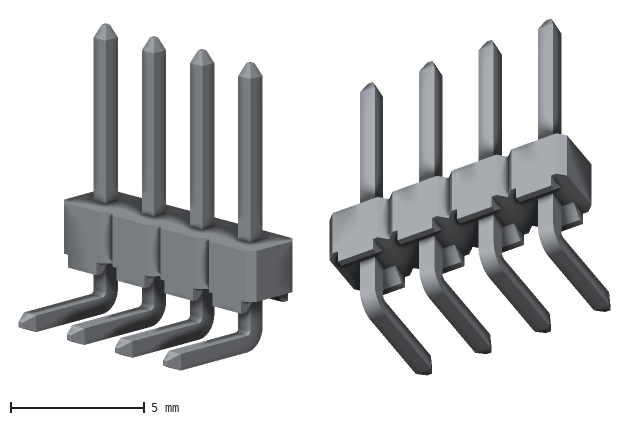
import cadquery as cq

pin_count = 4
row_length = 10.16
pitch = row_length / pin_count
total_height = 11.12
pin_centers = [(i - (pin_count - 1) / 2) * pitch for i in range(pin_count)]

pin_width = 0.65
tip_width = pin_width / 3
tip_length = 0.5
inner_bend_radius = 0.18
outer_bend_radius = inner_bend_radius + pin_width
tail_reach = 4.55

body_depth = 2.51
body_height = 1.99
body_bottom = 2.25
corner_cut = 0.3
notch_floor = 0.03

foot_length = 1.49
foot_height = 0.5
foot_bottom_depth = 0.27
foot_top_depth = foot_bottom_depth + foot_height


def make_body():
    """Bar with cut outer corners and a notch between neighbouring cells, front and back."""
    body = (
        cq.Workplane("XY")
        .box(row_length, body_depth, body_height, centered=(True, True, False))
        .edges("|Z")
        .chamfer(corner_cut)
    )
    face = body_depth / 2
    half_floor = notch_floor / 2
    half_mouth = half_floor + corner_cut
    for i in range(1, pin_count):
        x = -row_length / 2 + i * pitch
        for side in (-1, 1):
            notch = (
                cq.Workplane("XY")
                .polyline([
                    (x - half_mouth, side * face),
                    (x - half_floor, side * (face - corner_cut)),
                    (x + half_floor, side * (face - corner_cut)),
                    (x + half_mouth, side * face),
                ])
                .close()
                .extrude(body_height)
            )
            body = body.cut(notch)
    return body.translate((0, 0, body_bottom))


def make_foot(x, side):
    """Foot under the body, flush with its front (-1) or back (+1) face."""
    outer = side * body_depth / 2
    foot_bottom = body_bottom - foot_height
    return (
        cq.Workplane("YZ")
        .polyline([
            (outer, body_bottom),
            (outer, foot_bottom),
            (outer - side * foot_bottom_depth, foot_bottom),
            (outer - side * foot_top_depth, body_bottom),
        ])
        .close()
        .extrude(foot_length / 2, both=True)
        .translate((x, 0, 0))
    )


def make_tip(base_plane):
    """Truncated pyramid that tapers along the normal of the given plane."""
    return (
        cq.Workplane(base_plane)
        .rect(pin_width, pin_width)
        .workplane(offset=tip_length)
        .rect(tip_width, tip_width)
        .loft(ruled=True)
    )


def make_pin():
    """Vertical square pin whose lower end bends forward (-Y) into a tail."""
    half = pin_width / 2
    post_top = total_height - tip_length
    tail_end = -tail_reach + tip_length
    shaft = (
        cq.Workplane("YZ")
        .moveTo(half, post_top)
        .lineTo(half, outer_bend_radius)
        .radiusArc((half - outer_bend_radius, 0), outer_bend_radius)
        .lineTo(tail_end, 0)
        .lineTo(tail_end, pin_width)
        .lineTo(-half - inner_bend_radius, pin_width)
        .radiusArc((-half, outer_bend_radius), -inner_bend_radius)
        .lineTo(-half, post_top)
        .close()
        .extrude(half, both=True)
    )
    top_plane = cq.Plane(origin=(0, 0, post_top), xDir=(1, 0, 0), normal=(0, 0, 1))
    tail_plane = cq.Plane(origin=(0, tail_end, half), xDir=(1, 0, 0), normal=(0, -1, 0))
    return shaft.union(make_tip(top_plane)).union(make_tip(tail_plane))


result = make_body()
pin = make_pin()
for pin_x in pin_centers:
    for foot_side in (-1, 1):
        result = result.union(make_foot(pin_x, foot_side))
    result = result.union(pin.translate((pin_x, 0, 0)))